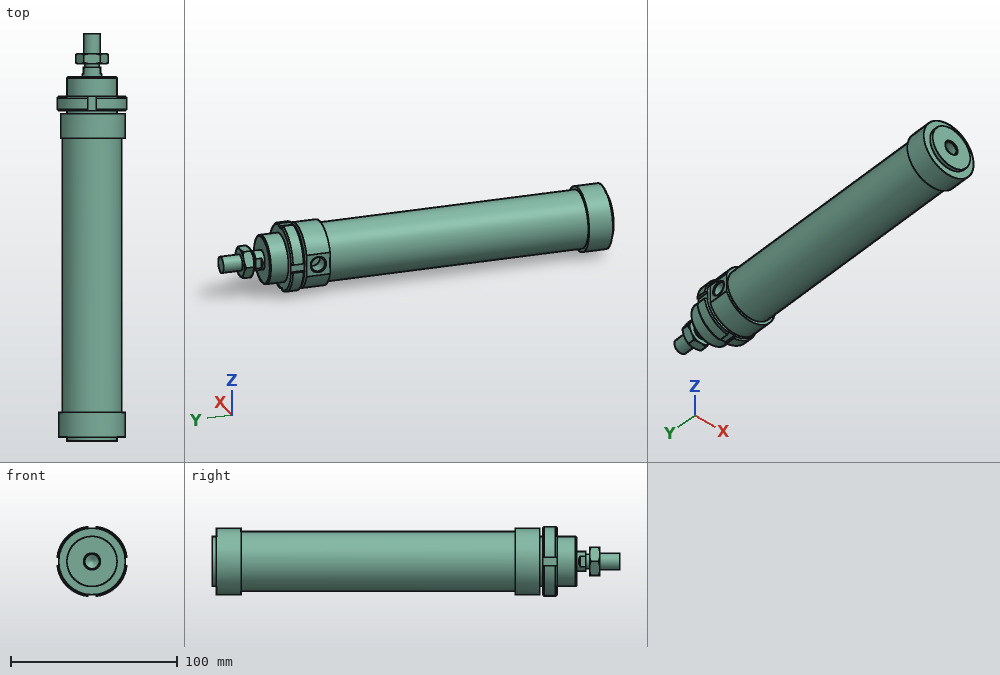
import cadquery as cq
import math

rod_tip = 244.5
rear_boss_length = 2.5
end_cap_length = 15.0
rear_cap_end = rear_boss_length + end_cap_length
front_cap_end = 196.5
front_cap_start = front_cap_end - end_cap_length
ring_nut_start = 198.3
ring_nut_width = 8.5
gland_end = 218.5
shoulder_end = 224.2
rod_nut_start = 226.5
rod_nut_width = 6.0

tube_diameter = 36.0
cap_diameter = 40.0
gland_diameter = 30.0
gland_chamfer = 0.7
port_flat_distance = 18.8
port_y = (front_cap_start + front_cap_end) / 2
thread_diameter = 10.0
thread_core_diameter = 8.8
port_depth = 9.8
rear_hole_depth = 9.8
countersink_depth = (thread_diameter - thread_core_diameter) / 2
drill_point_angle = 118.0
drill_point_length = thread_core_diameter / 2 / math.tan(math.radians(drill_point_angle / 2))

ring_nut_diameter = 42.0
ring_nut_chamfer = 1.0
slot_width = 5.1
slot_depth = 2.0
slot_count = 4

rod_diameter = 12.0
rod_flats_width = 10.3
rod_flat_length = 3.5
rod_flat_runout = 1.0

rod_nut_flats = 17.0
rod_nut_corners = rod_nut_flats / math.cos(math.pi / 6)
rod_nut_chamfer_height = 0.7
rod_nut_chamfer_width = 1.2


def cylinder(diameter, start, end):
    """Solid cylinder on the Y axis between two stations."""
    plane = cq.Plane(origin=(0, start, 0), xDir=(1, 0, 0), normal=(0, 1, 0))
    return cq.Workplane(plane).circle(diameter / 2).extrude(end - start)


def cone(start_diameter, end_diameter, start, length):
    """Solid cone or cone frustum on the Y axis, starting at a station."""
    axis = cq.Vector(0, 1, 0)
    solid = cq.Solid.makeCone(start_diameter / 2, end_diameter / 2, length, cq.Vector(0, start, 0), axis)
    return cq.Workplane(obj=solid)


def threaded_hole(depth, point_length=0.0):
    """Cutter for a countersunk hole going from the origin along +Y, with an optional conical end."""
    hole = (
        cylinder(thread_core_diameter, 0, depth)
        .union(cone(thread_diameter, thread_core_diameter, 0, countersink_depth))
    )
    if point_length > 0:
        hole = hole.union(cone(thread_core_diameter, 0, depth, point_length))
    return hole


def make_body():
    """Tube, end caps and gland, with a side port, a rear hole and a rod bore."""
    gland = cylinder(gland_diameter, front_cap_end, gland_end)
    gland = gland.faces(">Y").chamfer(gland_chamfer)
    body = (
        cylinder(gland_diameter, 0, rear_boss_length)
        .union(cylinder(cap_diameter, rear_boss_length, rear_cap_end))
        .union(cylinder(tube_diameter, rear_cap_end, front_cap_start))
        .union(cylinder(cap_diameter, front_cap_start, front_cap_end))
        .union(gland)
    )

    flat_depth = cap_diameter / 2 - port_flat_distance
    flat = cq.Workplane("XY").box(flat_depth, end_cap_length, cap_diameter)
    body = body.cut(flat.translate((-port_flat_distance - flat_depth / 2, port_y, 0)))

    port = threaded_hole(port_depth).rotate((0, 0, 0), (0, 0, 1), -90)
    body = body.cut(port.translate((-port_flat_distance, port_y, 0)))
    body = body.cut(threaded_hole(rear_hole_depth, drill_point_length))
    return body.cut(cylinder(rod_diameter, front_cap_end, gland_end))


def make_ring_nut():
    """Round nut on the gland, with slots across its rim."""
    end = ring_nut_start + ring_nut_width
    nut = cylinder(ring_nut_diameter, ring_nut_start, end)
    nut = nut.faces("<Y or >Y").chamfer(ring_nut_chamfer)
    nut = nut.cut(cylinder(gland_diameter, ring_nut_start, end))
    slot = cq.Workplane("XY").box(slot_width, ring_nut_width, 2 * slot_depth)
    slot = slot.translate((0, ring_nut_start + ring_nut_width / 2, ring_nut_diameter / 2))
    for i in range(slot_count):
        nut = nut.cut(slot.rotate((0, 0, 0), (0, 1, 0), i * 360 / slot_count))
    return nut


def make_rod():
    """Rod with a flatted shoulder, a thinner neck and a threaded end."""
    rod = (
        cylinder(rod_diameter, front_cap_end, shoulder_end)
        .union(cylinder(thread_core_diameter, shoulder_end, rod_nut_start))
        .union(cylinder(thread_diameter, rod_nut_start, rod_tip))
    )
    flat_x = rod_flats_width / 2
    rod_radius = rod_diameter / 2
    flat_start = shoulder_end - rod_flat_length
    flat = (
        cq.Workplane("XY")
        .moveTo(flat_x, shoulder_end)
        .lineTo(flat_x, flat_start)
        .lineTo(rod_radius, flat_start - rod_flat_runout)
        .lineTo(rod_radius, shoulder_end)
        .close()
        .extrude(rod_radius, both=True)
    )
    return rod.cut(flat).cut(flat.mirror("YZ"))


def make_rod_nut():
    """Hexagonal nut with corners on the X axis, chamfered on both ends."""
    end = rod_nut_start + rod_nut_width
    plane = cq.Plane(origin=(0, rod_nut_start, 0), xDir=(1, 0, 0), normal=(0, 1, 0))
    nut = cq.Workplane(plane).polygon(6, rod_nut_corners).extrude(rod_nut_width)
    envelope = cylinder(rod_nut_corners, rod_nut_start, end)
    envelope = envelope.faces(">Y").chamfer(rod_nut_chamfer_height, rod_nut_chamfer_width)
    envelope = envelope.faces("<Y").chamfer(rod_nut_chamfer_height, rod_nut_chamfer_width)
    return nut.intersect(envelope).cut(cylinder(thread_diameter, rod_nut_start, end))


body = make_body()
ring_nut = make_ring_nut()
rod = make_rod()
rod_nut = make_rod_nut()

result = cq.Compound.makeCompound([body.val(), ring_nut.val(), rod.val(), rod_nut.val()])